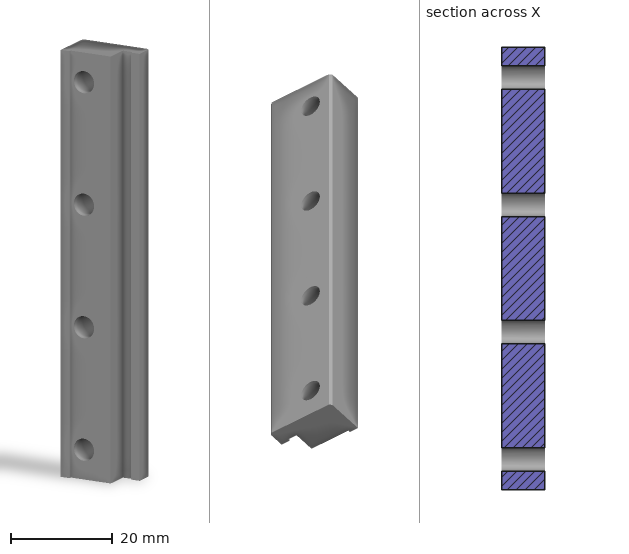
import cadquery as cq

length = 87.0
width = 15.0
depth = 9.0

body_width = 11.0
foot_pad_width = 2.0
flange_pad_width = 1.9
pad_height = 0.5
flange_depth = 4.0
corner_chamfer = 0.5

hole_diameter = 4.5
hole_count = 4
hole_pitch = 25.0
hole_x = 5.0
first_hole_z = (length - (hole_count - 1) * hole_pitch) / 2


def make_strip():
    """Extrude the stepped section, with a raised contact pad on the foot and on the flange."""
    body_y = pad_height
    flange_pad_y = depth - flange_depth
    flange_y = flange_pad_y + pad_height
    outline = [
        (0, 0),
        (foot_pad_width, 0),
        (foot_pad_width, body_y),
        (body_width, body_y),
        (body_width, flange_y),
        (width - flange_pad_width, flange_y),
        (width - flange_pad_width, flange_pad_y),
        (width, flange_pad_y),
        (width, depth - corner_chamfer),
        (width - corner_chamfer, depth),
        (corner_chamfer, depth),
        (0, depth - corner_chamfer),
    ]
    return cq.Workplane("XY").polyline(outline).close().extrude(length)


def make_holes():
    """Cylinders along Y that cut the screw holes through the full depth."""
    centers = [(hole_x, first_hole_z + i * hole_pitch) for i in range(hole_count)]
    return cq.Workplane("XZ").pushPoints(centers).circle(hole_diameter / 2).extrude(-depth)


result = make_strip().cut(make_holes())